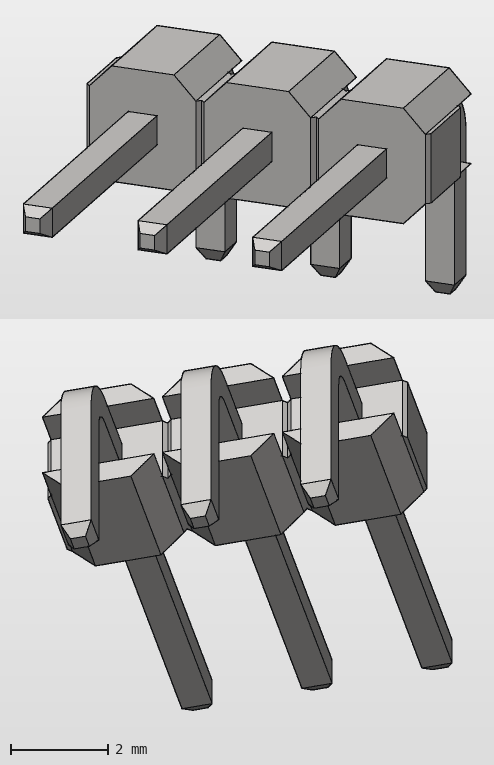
import cadquery as cq
import math

PIN_COUNT = 3
ROW_LENGTH = 7.62
PITCH = ROW_LENGTH / PIN_COUNT

SEGMENT_WIDTH = 2.36
SEGMENT_HEIGHT = PITCH
SEGMENT_DEPTH = 2.5
SEGMENT_CHAMFER_X = 0.49
SEGMENT_CHAMFER_Z = 0.51
SIDE_HEIGHT = SEGMENT_HEIGHT - 2 * SEGMENT_CHAMFER_Z
SLOT_DEPTH = 0.71
LINK_BACK = SEGMENT_DEPTH - SLOT_DEPTH
LINK_CHAMFER = (PITCH - SEGMENT_WIDTH) / 2

PIN_WIDTH = 0.64
PIN_FRONT_REACH = 6.0
PIN_LENGTH = 10.35
PIN_DROP = 4.26
BEND_INNER_RADIUS = 0.51
TIP_TAPER = 30.0
TIP_FLAT = PIN_WIDTH / 2
TIP_LENGTH = (PIN_WIDTH - TIP_FLAT) / 2 / math.tan(math.radians(TIP_TAPER))

pin_positions = [(i - (PIN_COUNT - 1) / 2) * PITCH for i in range(PIN_COUNT)]


def make_segment(x):
    """Octagonal block around one pin."""
    half_width = SEGMENT_WIDTH / 2
    half_height = SEGMENT_HEIGHT / 2
    half_flat = half_width - SEGMENT_CHAMFER_X
    half_side = SIDE_HEIGHT / 2
    outline = [
        (-half_flat, half_height), (half_flat, half_height),
        (half_width, half_side), (half_width, -half_side),
        (half_flat, -half_height), (-half_flat, -half_height),
        (-half_width, -half_side), (-half_width, half_side),
    ]
    return cq.Workplane("XZ").polyline(outline).close().extrude(-SEGMENT_DEPTH).translate((x, 0, 0))


def make_link(x):
    """Pitch-wide core of a segment; its chamfered corners form V grooves with the next core."""
    return (
        cq.Workplane("XY")
        .box(PITCH, LINK_BACK, SIDE_HEIGHT, centered=(True, False, True))
        .edges("|Z")
        .chamfer(LINK_CHAMFER)
        .translate((x, 0, 0))
    )


def make_slot():
    """Rear slot along the whole row, as high as the segment side flats."""
    return (
        cq.Workplane("XY")
        .box(ROW_LENGTH, SLOT_DEPTH, SIDE_HEIGHT, centered=(True, False, True))
        .translate((0, LINK_BACK, 0))
    )


def make_pin_hole(x):
    """Square hole that fits a pin, through the full depth of the housing."""
    return pin_section("XZ", (x, 0, 0)).extrude(-SEGMENT_DEPTH)


def make_housing():
    """Linked segments with a common rear slot and a square hole per pin."""
    housing = cq.Workplane("XY")
    for x in pin_positions:
        housing = housing.union(make_segment(x)).union(make_link(x))
    housing = housing.cut(make_slot())
    for x in pin_positions:
        housing = housing.cut(make_pin_hole(x))
    return housing.solids()


def pin_section(plane, origin):
    """Square pin cross-section centred on the origin of a plane."""
    return cq.Workplane(plane, origin=origin).rect(PIN_WIDTH, PIN_WIDTH)


def make_tip(section, length):
    """Taper a pin section to its flat end over a signed length."""
    return section.workplane(offset=length).rect(TIP_FLAT, TIP_FLAT).loft(ruled=True)


def make_pin(x):
    """Square pin bent down behind the housing, tapered at both tips."""
    bend_radius = BEND_INNER_RADIUS + PIN_WIDTH / 2
    shaft_front = TIP_LENGTH - PIN_FRONT_REACH
    shaft_bottom = TIP_LENGTH - PIN_DROP
    leg_y = PIN_LENGTH - PIN_FRONT_REACH - PIN_WIDTH / 2
    path = (
        cq.Workplane("YZ")
        .moveTo(shaft_front, 0)
        .lineTo(leg_y - bend_radius, 0)
        .tangentArcPoint((leg_y, -bend_radius), relative=False)
        .lineTo(leg_y, shaft_bottom)
    )
    front_end = (0, shaft_front, 0)
    lower_end = (0, leg_y, shaft_bottom)
    shaft = pin_section("XZ", front_end).sweep(path)
    front_tip = make_tip(pin_section("XZ", front_end), TIP_LENGTH)
    lower_tip = make_tip(pin_section("XY", lower_end), -TIP_LENGTH)
    return shaft.union(front_tip).union(lower_tip).translate((x, 0, 0)).solids()


housing = make_housing()
pins = [make_pin(x) for x in pin_positions]

result = cq.Compound.makeCompound([housing.val(), *[pin.val() for pin in pins]])